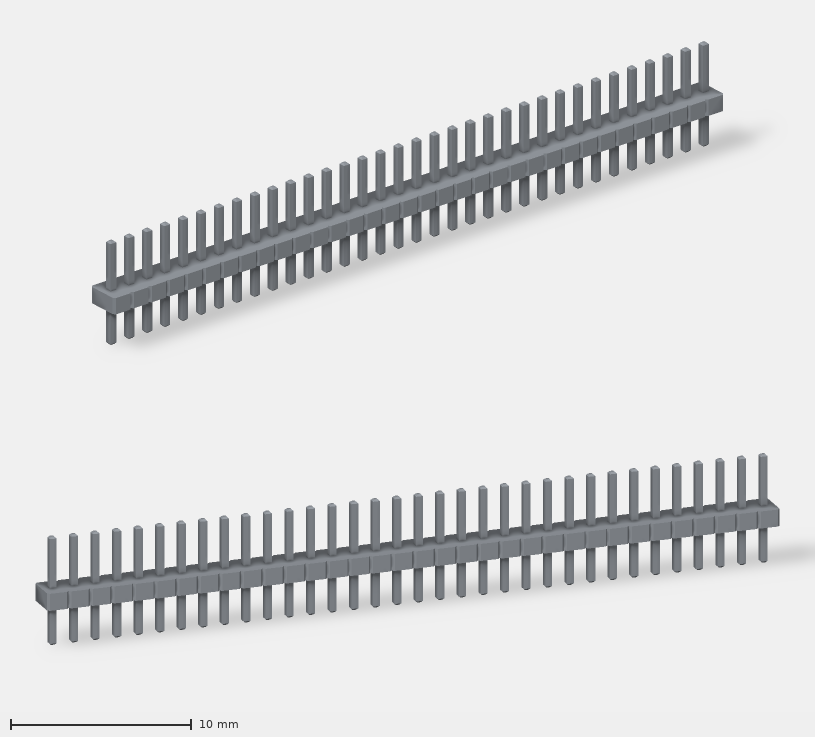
import cadquery as cq

pin_count = 34
body_length = 43.2
body_width = 2.1
body_height = 1.0
corner_chamfer = 0.15

pin_side = 0.4
pin_length = 6.3
pin_above_body = 3.0
pin_tip_chamfer = 0.1

pitch = body_length / pin_count
pin_below_body = pin_length - body_height - pin_above_body
first_pin_y = -(body_length - pitch) / 2
pin_positions = [(0, first_pin_y + i * pitch) for i in range(pin_count)]


def repeat_at_pins(shape):
    """Place one copy of the shape at every pin position."""
    return cq.Workplane("XY").pushPoints(pin_positions).eachpoint(shape.val(), combine=True)


def insulator_block():
    """One housing segment; chamfered corners leave V-grooves between neighbours."""
    return (
        cq.Workplane("XY")
        .box(body_width, pitch, body_height, centered=(True, True, False))
        .edges("|Z")
        .chamfer(corner_chamfer)
    )


def pin():
    """One square pin, tapered at both tips."""
    return (
        cq.Workplane("XY")
        .box(pin_side, pin_side, pin_length, centered=(True, True, False))
        .faces("<Z or >Z")
        .chamfer(pin_tip_chamfer)
        .translate((0, 0, -pin_below_body))
    )


result = repeat_at_pins(insulator_block()).union(repeat_at_pins(pin()))